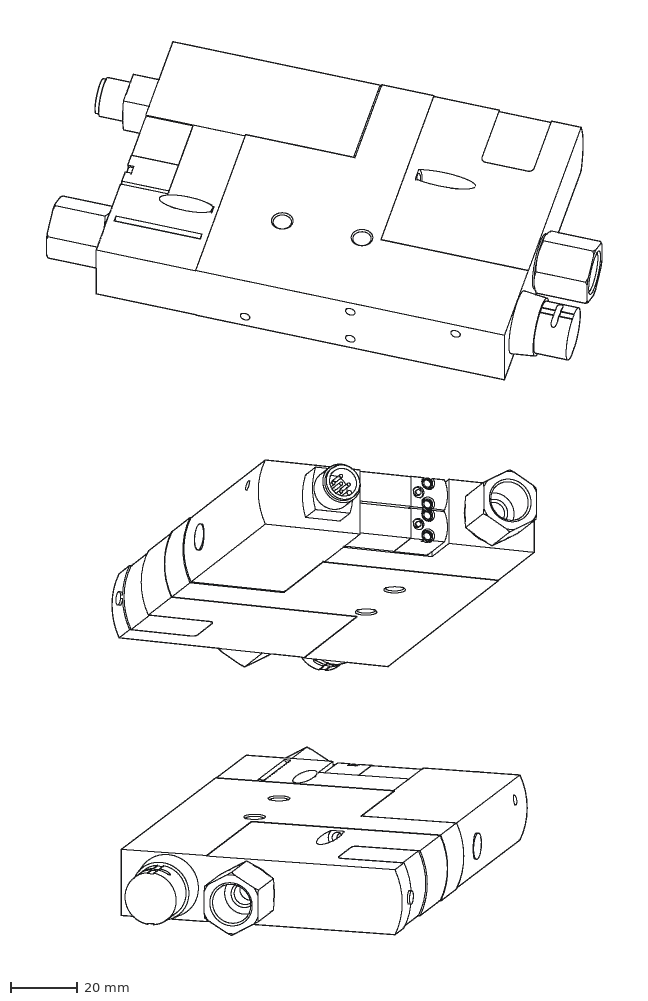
import cadquery as cq
import math

LENGTH = 127.9
HEIGHT = 20.5
TOP = HEIGHT / 2
BACK_EDGE = 86.6
BACK_APEX = 88.9
LEFT_REACH = 17.8
OVERALL_LENGTH = 163.1
RIGHT_REACH = OVERALL_LENGTH - LENGTH - LEFT_REACH

UNIT_END = 64.9
UNIT_GAP = 0.5
UNIT_FRONT = 56.5
UNIT_FRONT_LEFT = 56.0

AREA_STEP = 0.2
PORT_AREA_END = 31.2
REAR_AREA_START = 81.7
REAR_AREA_FRONT = 26.9

BAY_END = 14.8
BAY_FRONT = 27.4
VALVE_GAP = 0.5
VALVE_FRONT_MID = 27.9
VALVE_FRONT_EDGE = 28.9
VALVE_HEIGHT = TOP - 1.5 * VALVE_GAP
VALVE_CENTER_Z = (VALVE_GAP + VALVE_HEIGHT) / 2
COIL_FRONT = 39.6
COIL_INSET = 0.08
SCREW_Y = 34.1
SCREW_OFFSET_Z = 3.3
SCREW_RECESS_DIA = 4.0
SCREW_RECESS_DEPTH = 2.0
SCREW_HEAD_DIA = 3.3
SCREW_HEAD_DROP = 0.5
SCREW_SOCKET_DIA = 2.5
SCREW_SOCKET_DEPTH = 0.8
OVERRIDE_Y = 37.2
OVERRIDE_DIA = 3.5
OVERRIDE_PLUNGER_DIA = 1.6
OVERRIDE_DEPTH = 1.0

HEX_FLATS = 17.0
HEX_LENGTH = 17.1
HEX_CORNER_DIA = HEX_FLATS / math.cos(math.pi / 6)
HEX_BASE_CHAMFER = 0.7
HEX_END_CHAMFER = 0.5
HEX_END_DIA = 18.3
COLLAR_LENGTH = 0.5
PORT_DIA = 12.0
PORT_DEPTH = 13.0
PORT_CHAMFER = 0.7
NOZZLE_DIA = 6.5
NOZZLE_MOUTH_DIA = 8.0
NOZZLE_DEPTH = 6.5
LEFT_PORT_Y = 14.0
RIGHT_PORT_Y = 40.0

SILENCER_Y = 14.7
SILENCER_DIA = 16.1
COLLAR_DIA = 19.4
COLLAR_END_DIA = 18.0
COLLAR_REACH = 7.3
KEYWAY_WIDTH = 2.0
KEYWAY_DEPTH = 0.3
NOTCH_X = LENGTH + 12.4
NOTCH_DIA = 1.8
NOTCH_AXIS_Z = 7.5

PLUG_Y = 68.0
FLANGE_LENGTH = 8.8
FLANGE_HEIGHT = 13.4
FLANGE_WIDTH = 11.1
FLANGE_BULGE_WIDTH = 13.0
PLUG_DIA = 12.0
PLUG_TIP_DIA = 10.8
PLUG_TIP_LENGTH = 1.3
SOCKET_DIA = 8.6
SOCKET_DEPTH = 8.2
PIN_DIA = 1.0
PIN_LENGTH = 6.5
PIN_SPACING = 2.5
KEY_DIA = 1.5
KEY_RADIUS = 3.8

MOUNT_HOLES = [(51.0, 26.1), (76.0, 26.1)]
MOUNT_DIA = 5.5
MOUNT_CHAMFER = 0.5
FRONT_PITCH = 33.0
FRONT_MID_X = 79.6
FRONT_HOLE_Z = 6.2
FRONT_HOLE_DIA = 3.0
FRONT_HOLE_DEPTH = 4.9

OBLIQUE_DIA = 5.5
OBLIQUE_HOLE_DIA = 3.1
OBLIQUE_HOLE_DEPTH = 4.9
LEFT_OBLIQUE = {"near_tip": 12.4, "far_tip": 29.7, "y": 25.1, "half_opening": 8.5}
RIGHT_OBLIQUE = {"near_tip": 104.0, "far_tip": 85.0, "y": 55.1, "half_opening": 10.6}

GROOVE_START = 2.1
GROOVE_END = 29.0
GROOVE_Y = 13.7
GROOVE_WIDTH = 2.0

WRAP_START = 102.3
WRAP_END = 118.5
WRAP_FRONT = 65.2
WRAP_RADIUS = 1.6
WRAP_TOP_DEPTH = 0.25
WRAP_BACK_DEPTH = 0.7

BUTTON_X = 51.4
BUTTON_DIA = 8.0
BUTTON_RISE = 0.8
LAMP_X = 10.8
LAMP_Z = 4.9
LAMP_DIA = 3.0
STUD_X = 120.5
STUD_DIA = 4.0
STUD_RISE = 0.5


def box(x0, x1, y0, y1, z0=-TOP, z1=TOP):
    return cq.Workplane("XY").box(x1 - x0, y1 - y0, z1 - z0, centered=False).translate((x0, y0, z0))


def rod_x(x0, x1, y, z, dia):
    """Round bar along +X from x0 to x1."""
    return cq.Workplane("YZ", origin=(x0, y, z)).circle(dia / 2).extrude(x1 - x0)


def cone_x(x0, x1, y, dia0, dia1):
    """Tapered round bar along +X at mid-height."""
    profile = [(x0, 0), (x0, dia0 / 2), (x1, dia1 / 2), (x1, 0)]
    return cq.Workplane("XY").polyline(profile).close().revolve(360, (0, 0), (1, 0)).translate((0, y, 0))


def rod_y(x, y0, y1, z, dia):
    """Round bar along +Y from y0 to y1."""
    return cq.Workplane("XZ", origin=(x, y0, z)).circle(dia / 2).extrude(y0 - y1)


def bowed_slab(x0, x1, y0, back_shift=0.0, half_height=TOP):
    """Full-depth slab whose back is bowed outwards."""
    return (
        cq.Workplane("YZ", origin=(x0, 0, 0))
        .moveTo(y0, -half_height)
        .lineTo(BACK_EDGE - back_shift, -half_height)
        .threePointArc((BACK_APEX - back_shift, 0), (BACK_EDGE - back_shift, half_height))
        .lineTo(y0, half_height)
        .close()
        .extrude(x1 - x0)
    )


def hex_fitting(y):
    """Solid fitting that points along +X from x = 0, chamfered at both ends."""
    hexagon = (
        cq.Workplane("YZ", origin=(COLLAR_LENGTH, y, 0))
        .polygon(6, HEX_CORNER_DIA)
        .extrude(HEX_LENGTH - COLLAR_LENGTH)
        .rotate((0, y, 0), (1, y, 0), 30)
    )
    base_top = COLLAR_LENGTH + HEX_BASE_CHAMFER
    end_start = HEX_LENGTH - HEX_END_CHAMFER
    rounding = cone_x(COLLAR_LENGTH, base_top, y, HEX_FLATS, HEX_CORNER_DIA)
    rounding = rounding.union(rod_x(base_top, end_start, y, 0, HEX_CORNER_DIA))
    rounding = rounding.union(cone_x(end_start, HEX_LENGTH, y, HEX_CORNER_DIA, HEX_END_DIA))
    return hexagon.intersect(rounding).union(rod_x(0, COLLAR_LENGTH, y, 0, HEX_FLATS))


def port_bore(y):
    """Stepped bore that enters a fitting from its outer end."""
    floor = HEX_LENGTH - PORT_DEPTH
    mouth = cone_x(HEX_LENGTH - PORT_CHAMFER, HEX_LENGTH, y, PORT_DIA, PORT_DIA + 2 * PORT_CHAMFER)
    seat_depth = (NOZZLE_MOUTH_DIA - NOZZLE_DIA) / 2
    seat = cone_x(floor - seat_depth, floor, y, NOZZLE_DIA, NOZZLE_MOUTH_DIA)
    nozzle = rod_x(floor - NOZZLE_DEPTH, floor, y, 0, NOZZLE_DIA)
    return rod_x(floor, HEX_LENGTH, y, 0, PORT_DIA).union(mouth).union(seat).union(nozzle)


def to_left(tool):
    return tool.mirror("YZ")


def to_right(tool):
    return tool.translate((LENGTH, 0, 0))


def silencer():
    barrel = rod_x(LENGTH, LENGTH + RIGHT_REACH, SILENCER_Y, 0, SILENCER_DIA)
    collar = cone_x(LENGTH, LENGTH + COLLAR_REACH, SILENCER_Y, COLLAR_DIA, COLLAR_END_DIA)
    radius = SILENCER_DIA / 2
    for side in (1, -1):
        z0, z1 = sorted((side * (radius - KEYWAY_DEPTH), side * TOP))
        keyway = box(
            LENGTH + COLLAR_REACH, LENGTH + RIGHT_REACH,
            SILENCER_Y - KEYWAY_WIDTH / 2, SILENCER_Y + KEYWAY_WIDTH / 2, z0, z1,
        )
        notch = rod_y(NOTCH_X, SILENCER_Y - radius, SILENCER_Y + radius, side * NOTCH_AXIS_Z, NOTCH_DIA)
        barrel = barrel.cut(keyway).cut(notch)
    return barrel.union(collar)


def oblique_recess(near_tip, far_tip, y, half_opening):
    """Slanting round recess with a smaller hole in its floor, sinking from near_tip to far_tip."""
    radius = OBLIQUE_DIA / 2
    slope = math.asin(radius / half_opening)
    direction = math.copysign(1, far_tip - near_tip)
    axis_x = near_tip + direction * half_opening
    sink = (abs(far_tip - axis_x) - radius * math.sin(slope)) / math.cos(slope)
    axis = cq.Vector(direction * math.cos(slope), 0, -math.sin(slope))
    entry = cq.Vector(axis_x, y, TOP)
    run_in = 2 * half_opening
    recess = cq.Solid.makeCylinder(radius, run_in + sink, entry - axis * run_in, axis)
    hole = cq.Solid.makeCylinder(OBLIQUE_HOLE_DIA / 2, OBLIQUE_HOLE_DEPTH, entry + axis * sink, axis)
    return cq.Workplane(recess).union(cq.Workplane(hole))


def sink_around(region, top_step, back_step):
    """The skin of a region of the block that is taken off the top, the back and the bottom."""
    return region.cut(bowed_slab(0, LENGTH, 0, back_step, TOP - top_step))


def wrap_recess():
    """Recess with rounded front corners that wraps over the back."""
    region = box(WRAP_START, WRAP_END, WRAP_FRONT, BACK_APEX)
    region = region.edges("|Z and <Y").fillet(WRAP_RADIUS)
    return sink_around(region, WRAP_TOP_DEPTH, WRAP_BACK_DEPTH)


def back_button():
    """Domed button at the middle of the back."""
    radius = ((BUTTON_DIA / 2) ** 2 + BUTTON_RISE**2) / (2 * BUTTON_RISE)
    sphere = cq.Workplane("XY").sphere(radius).translate((BUTTON_X, BACK_APEX + BUTTON_RISE - radius, 0))
    return sphere.intersect(rod_y(BUTTON_X, BACK_EDGE, BACK_APEX + BUTTON_RISE, 0, BUTTON_DIA))


def make_main_block():
    block = bowed_slab(0, LENGTH, 0)
    block = block.cut(box(0, UNIT_END + UNIT_GAP, UNIT_FRONT, BACK_APEX))
    block = block.cut(box(0, PORT_AREA_END, UNIT_FRONT_LEFT, BACK_APEX))
    block = block.cut(box(0, BAY_END, BAY_FRONT, UNIT_FRONT))
    port_area = box(0, PORT_AREA_END, 0, UNIT_FRONT)
    rear_area = box(REAR_AREA_START, LENGTH, REAR_AREA_FRONT, BACK_APEX)
    for area in (port_area, rear_area):
        block = block.cut(sink_around(area, AREA_STEP, AREA_STEP))
    block = block.cut(wrap_recess())
    block = block.union(to_left(hex_fitting(LEFT_PORT_Y))).cut(to_left(port_bore(LEFT_PORT_Y)))
    block = block.union(to_right(hex_fitting(RIGHT_PORT_Y))).cut(to_right(port_bore(RIGHT_PORT_Y)))
    block = block.union(silencer())
    for x, y in MOUNT_HOLES:
        hole = cq.Workplane("XY").circle(MOUNT_DIA / 2).extrude(HEIGHT, both=True)
        sink = cq.Workplane("XY", origin=(0, 0, TOP)).circle(MOUNT_DIA / 2 + MOUNT_CHAMFER)
        sink = sink.workplane(offset=-MOUNT_CHAMFER).circle(MOUNT_DIA / 2).loft()
        block = block.cut(hole.union(sink).union(sink.mirror("XY")).translate((x, y, 0)))
    for pitch, side in [(-1, -1), (0, -1), (0, 1), (1, 1)]:
        x = FRONT_MID_X + pitch * FRONT_PITCH
        block = block.cut(rod_y(x, 0, FRONT_HOLE_DEPTH, side * FRONT_HOLE_Z, FRONT_HOLE_DIA))
    block = block.cut(oblique_recess(**LEFT_OBLIQUE)).cut(oblique_recess(**RIGHT_OBLIQUE))
    block = block.cut(rod_x(GROOVE_START, GROOVE_END, GROOVE_Y, TOP, GROOVE_WIDTH))
    stud = rod_y(STUD_X, BACK_EDGE, BACK_APEX + STUD_RISE, 0, STUD_DIA)
    return block.union(stud.intersect(box(WRAP_END, LENGTH, 0, BACK_APEX + STUD_RISE)))


def plug_connector():
    half_h = FLANGE_HEIGHT / 2
    half_w = FLANGE_WIDTH / 2
    half_bulge = FLANGE_BULGE_WIDTH / 2
    flange = (
        cq.Workplane("YZ", origin=(-FLANGE_LENGTH, PLUG_Y, 0))
        .moveTo(-half_w, half_h)
        .lineTo(half_w, half_h)
        .threePointArc((half_bulge, 0), (half_w, -half_h))
        .lineTo(-half_w, -half_h)
        .threePointArc((-half_bulge, 0), (-half_w, half_h))
        .close()
        .extrude(FLANGE_LENGTH)
    )
    shell = rod_x(-LEFT_REACH + PLUG_TIP_LENGTH, -FLANGE_LENGTH, PLUG_Y, 0, PLUG_DIA)
    tip = rod_x(-LEFT_REACH, -FLANGE_LENGTH, PLUG_Y, 0, PLUG_TIP_DIA)
    socket_floor = -LEFT_REACH + SOCKET_DEPTH
    plug = flange.union(shell).union(tip).cut(rod_x(-LEFT_REACH, socket_floor, PLUG_Y, 0, SOCKET_DIA))
    for dy, dz in [(0, 0), (1, 0), (-1, 0), (0, 1), (0, -1)]:
        pin_y = PLUG_Y + dy * PIN_SPACING
        plug = plug.union(rod_x(socket_floor - PIN_LENGTH, socket_floor, pin_y, dz * PIN_SPACING, PIN_DIA))
    key_offset = KEY_RADIUS / math.sqrt(2)
    key = rod_x(socket_floor - PIN_LENGTH, socket_floor, PLUG_Y - key_offset, -key_offset, KEY_DIA)
    return plug.union(key)


def make_control_unit():
    top = TOP - AREA_STEP
    unit = bowed_slab(0, UNIT_END, UNIT_FRONT, AREA_STEP, top)
    unit = unit.union(box(0, PORT_AREA_END, UNIT_FRONT_LEFT, UNIT_FRONT, -top, top))
    lamp = rod_y(LAMP_X, BACK_EDGE, BACK_APEX, LAMP_Z, LAMP_DIA)
    unit = unit.cut(lamp)
    return unit.union(back_button()).union(plug_connector())


def make_valve(center_z):
    half = VALVE_HEIGHT / 2
    valve = (
        cq.Workplane("YZ")
        .moveTo(COIL_FRONT, -half)
        .lineTo(VALVE_FRONT_EDGE, -half)
        .threePointArc((VALVE_FRONT_MID, 0), (VALVE_FRONT_EDGE, half))
        .lineTo(COIL_FRONT, half)
        .close()
        .extrude(BAY_END)
    )
    coil_half = half - COIL_INSET
    valve = valve.union(box(COIL_INSET, BAY_END, COIL_FRONT, UNIT_FRONT_LEFT, -coil_half, coil_half))
    for side in (1, -1):
        z = side * SCREW_OFFSET_Z
        valve = valve.cut(rod_x(0, SCREW_RECESS_DEPTH, SCREW_Y, z, SCREW_RECESS_DIA))
        valve = valve.union(rod_x(SCREW_HEAD_DROP, SCREW_RECESS_DEPTH, SCREW_Y, z, SCREW_HEAD_DIA))
        socket_floor = SCREW_HEAD_DROP + SCREW_SOCKET_DEPTH
        valve = valve.cut(rod_x(SCREW_HEAD_DROP, socket_floor, SCREW_Y, z, SCREW_SOCKET_DIA))
    ring = rod_x(0, OVERRIDE_DEPTH, OVERRIDE_Y, 0, OVERRIDE_DIA)
    ring = ring.cut(rod_x(0, OVERRIDE_DEPTH, OVERRIDE_Y, 0, OVERRIDE_PLUNGER_DIA))
    return valve.cut(ring).translate((0, 0, center_z))


main_block = make_main_block()
control_unit = make_control_unit()
valves = [make_valve(side * VALVE_CENTER_Z) for side in (1, -1)]

result = cq.Compound.makeCompound(
    [main_block.val(), control_unit.val()] + [valve.val() for valve in valves]
)